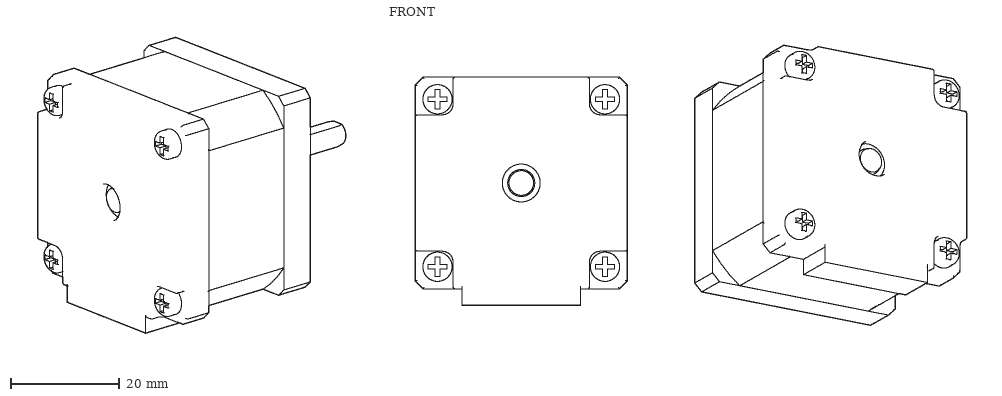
import cadquery as cq


TOTAL_LENGTH = 57.0
BODY_WIDTH = 39.3
HALF_WIDTH = BODY_WIDTH / 2

TOLERANCE = 0.005

REAR_CAP_LENGTH = 8.0
STATOR_LENGTH = 18.45
FRONT_CAP_LENGTH = 6.55
BOSS_LENGTH = 2.0
FRONT_CAP_START = REAR_CAP_LENGTH + STATOR_LENGTH
FRONT_CAP_END = FRONT_CAP_START + FRONT_CAP_LENGTH

CORNER_CHAMFER = 1.5
EDGE_ROUND = 0.5
BOSS_DIAMETER = 22.0
BOSS_CHAMFER = 0.5
REAR_RECESS_DIAMETER = 7.0
REAR_RECESS_DEPTH = 3.0

CONNECTOR_WIDTH = 22.0
CONNECTOR_DROP = 3.0
CONNECTOR_OVERLAP = 2 * EDGE_ROUND

POCKET_SIDE = 7.0
POCKET_DEPTH = 2.5
POCKET_CORNER_RADIUS = 2.0

SCREW_OFFSET = 15.5
SCREW_DIAMETER = 5.4
SCREW_ROUND = 1.0
CROSS_LENGTH = 3.55
CROSS_WIDTH = 0.9
CROSS_DEPTH = 1.5

STATOR_CORNER_DIAMETER = 48.0
SHAFT_DIAMETER = 5.0
SHAFT_REAR_END = 2.0
SHAFT_TIP_LENGTH = 1.0
SHAFT_TIP_INSET = 0.2
FLAT_LENGTH = 15.0
FLAT_CUT = 0.5


def plane_at(y):
    """Sketch plane across the shaft at Y = y: local x is X, local y is Z, negative extrusions go to +Y."""
    return cq.Workplane(cq.Plane(origin=(0, y, 0), xDir=(1, 0, 0), normal=(0, -1, 0)))


def disc(y, length, diameter):
    return plane_at(y).circle(diameter / 2).extrude(-length)


def block(y, length, width, height):
    return plane_at(y).rect(width, height).extrude(-length)


def cap_blank(y, length):
    return block(y, length, BODY_WIDTH, BODY_WIDTH).edges("|Y").chamfer(CORNER_CHAMFER)


def corner_pocket():
    """Cutter centred on the +X +Z corner, rounded where its walls meet each other and the floor."""
    size = 2 * POCKET_SIDE
    cutter = (
        block(-POCKET_DEPTH, 2 * POCKET_DEPTH, size, size)
        .edges("|Y")
        .fillet(POCKET_CORNER_RADIUS)
        .faces(">Y")
        .edges()
        .fillet(EDGE_ROUND)
    )
    return cutter.translate((HALF_WIDTH, 0, HALF_WIDTH))


def screw_head():
    """Rounded head on the pocket floor with a cross recess, centred on the Y axis."""
    head = disc(0, POCKET_DEPTH, SCREW_DIAMETER).faces("<Y").edges().fillet(SCREW_ROUND)
    for width, height in ((CROSS_LENGTH, CROSS_WIDTH), (CROSS_WIDTH, CROSS_LENGTH)):
        head = head.cut(block(0, CROSS_DEPTH, width, height))
    return head


def round_rear_edges(cap):
    """Round the edges of the rear face and the outer edges of the pocket floors.

    The pocket floor edges run on smoothly up the pocket sides, so the rounding follows them there.
    """
    outer_limit = HALF_WIDTH - CORNER_CHAMFER
    floor_edges = []
    for edge in cap.edges().vals():
        centre = edge.Center()
        on_floor = abs(centre.y - POCKET_DEPTH) < TOLERANCE
        if on_floor and max(abs(centre.x), abs(centre.z)) > outer_limit:
            floor_edges.append(edge)
    rear_edges = cap.faces("<Y").edges().vals()
    return cap.newObject(rear_edges + floor_edges).fillet(EDGE_ROUND)


def make_connector():
    height = CONNECTOR_DROP + CONNECTOR_OVERLAP
    bottom = -HALF_WIDTH - CONNECTOR_DROP
    return block(0, REAR_CAP_LENGTH, CONNECTOR_WIDTH, height).translate((0, 0, bottom + height / 2))


def make_rear_cap():
    cap = cap_blank(0, REAR_CAP_LENGTH)
    pocket = corner_pocket()
    for quarter in range(4):
        cap = cap.cut(pocket.rotate((0, 0, 0), (0, 1, 0), 90 * quarter))
    cap = cap.cut(disc(0, REAR_RECESS_DEPTH, REAR_RECESS_DIAMETER))
    cap = round_rear_edges(cap)
    cap = cap.cut(disc(0, REAR_CAP_LENGTH, SHAFT_DIAMETER))
    cap = cap.union(make_connector())

    screw = screw_head()
    for x in (-SCREW_OFFSET, SCREW_OFFSET):
        for z in (-SCREW_OFFSET, SCREW_OFFSET):
            cap = cap.union(screw.translate((x, 0, z)))
    return cap


def make_front_cap():
    cap = cap_blank(FRONT_CAP_START, FRONT_CAP_LENGTH)
    boss = disc(FRONT_CAP_END, BOSS_LENGTH, BOSS_DIAMETER).faces(">Y").chamfer(BOSS_CHAMFER)
    bore = disc(FRONT_CAP_START, FRONT_CAP_LENGTH + BOSS_LENGTH, SHAFT_DIAMETER)
    return cap.union(boss).cut(bore)


def make_shaft():
    """Shaft with a chamfer at both ends and a flat on top of its front end."""
    length = TOTAL_LENGTH - SHAFT_REAR_END
    shaft = disc(SHAFT_REAR_END, length, SHAFT_DIAMETER)
    shaft = shaft.faces("<Y or >Y").edges().chamfer(SHAFT_TIP_LENGTH, SHAFT_TIP_INSET)
    flat = block(TOTAL_LENGTH - FLAT_LENGTH, FLAT_LENGTH, SHAFT_DIAMETER, SHAFT_DIAMETER)
    return shaft.cut(flat.translate((0, 0, SHAFT_DIAMETER - FLAT_CUT)))


def make_stator():
    """Square core with its corners turned down, solid with the shaft that runs through both caps."""
    core = block(REAR_CAP_LENGTH, STATOR_LENGTH, BODY_WIDTH, BODY_WIDTH)
    core = core.intersect(disc(REAR_CAP_LENGTH, STATOR_LENGTH, STATOR_CORNER_DIAMETER))
    return core.union(make_shaft())


rear_cap = make_rear_cap()
stator = make_stator()
front_cap = make_front_cap()

result = cq.Compound.makeCompound([rear_cap.val(), stator.val(), front_cap.val()])